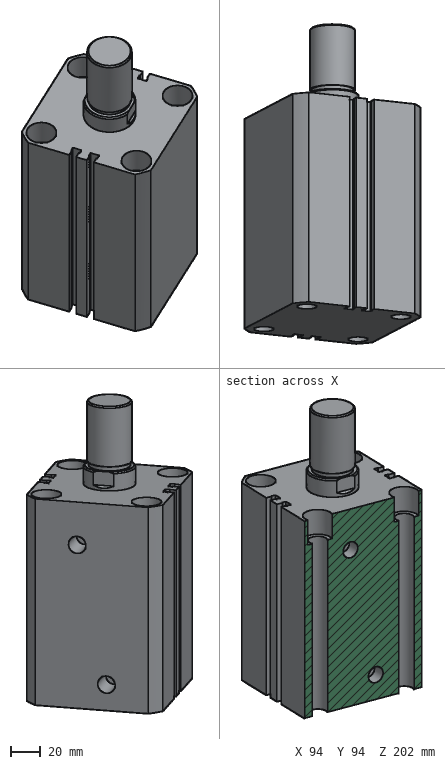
import cadquery as cq
import math

body_side = 94.0
total_height = 202.0
body_height = 144.0
corner_setback = 8.0
half_side = body_side / 2
corner_radius = math.hypot(half_side, half_side - corner_setback)

mount_offset = 34.5
mount_hole_diameter = 13.1
counterbore_diameter = 20.0
counterbore_depth = 18.0

slot_offset = 6.5
slot_mouth_width = 5.0
slot_inner_width = 6.3
slot_depth = 7.5
slot_lip = 4.5

port_mouth_diameter = 12.0
port_floor_diameter = 10.7
port_taper = 1 / 16
port_depth = (port_mouth_diameter - port_floor_diameter) / port_taper
port_offset = 10.0
upper_port_height = 114.1
lower_port_height = 18.2

collar_diameter = 35.0
collar_height = 13.0
neck_diameter = 28.0
neck_height = 3.0
tip_diameter = 30.0
rod_chamfer = 1.0
flat_width = 32.0
flat_base = 3.2


def make_block():
    """Square block whose four corners are turned to one common radius."""
    square = cq.Workplane("XY").rect(body_side, body_side).extrude(body_height)
    turned = cq.Workplane("XY").circle(corner_radius).extrude(body_height)
    return square.intersect(turned)


def cut_mounting_holes(block):
    """Counterbored through holes, entered from the top."""
    return (
        block.faces(">Z")
        .workplane(origin=(0, 0, body_height))
        .rect(2 * mount_offset, 2 * mount_offset, forConstruction=True)
        .vertices()
        .cboreHole(mount_hole_diameter, counterbore_diameter, counterbore_depth)
    )


def make_sensor_slot(x, side):
    """Cutter for one full-height T slot; side is -1 for -Y and +1 for +Y."""
    mouth = (
        cq.Workplane("XY")
        .center(x, side * (half_side - slot_depth / 2))
        .rect(slot_mouth_width, slot_depth)
        .extrude(body_height)
    )
    inner_depth = slot_depth - slot_lip
    inner = (
        cq.Workplane("XY")
        .center(x, side * (half_side - slot_lip - inner_depth / 2))
        .rect(slot_inner_width, inner_depth)
        .extrude(body_height)
    )
    return mouth.union(inner)


def make_port(y, z):
    """Cutter for a blind tapered port entered from the -X side."""
    mouth_centre = cq.Vector(-half_side, y, z)
    inward = cq.Vector(1, 0, 0)
    return cq.Solid.makeCone(
        port_mouth_diameter / 2, port_floor_diameter / 2, port_depth, mouth_centre, inward
    )


def make_body():
    body = cut_mounting_holes(make_block())
    for side in (-1, 1):
        for x in (-slot_offset, slot_offset):
            body = body.cut(make_sensor_slot(x, side))
    body = body.cut(make_port(port_offset, upper_port_height))
    return body.cut(make_port(-port_offset, lower_port_height))


def make_flat(side):
    """Cutter for one wrench flat with a 45 degree run-out; side is -1 for -X and +1 for +X."""
    flat_x = flat_width / 2
    reach = flat_base
    base_z = body_height + flat_base
    top_z = body_height + collar_height
    profile = [
        (side * flat_x, base_z),
        (side * (flat_x + reach), base_z - reach),
        (side * (flat_x + reach), top_z),
        (side * flat_x, top_z),
    ]
    return cq.Workplane("XZ").polyline(profile).close().extrude(collar_diameter / 2, both=True)


def make_rod():
    """Turned rod (collar, neck and chamfered tip) with two wrench flats on the collar."""
    collar_radius = collar_diameter / 2
    neck_radius = neck_diameter / 2
    tip_radius = tip_diameter / 2
    collar_top = body_height + collar_height
    neck_top = collar_top + neck_height
    profile = [
        (0, body_height),
        (collar_radius, body_height),
        (collar_radius, collar_top - rod_chamfer),
        (collar_radius - rod_chamfer, collar_top),
        (neck_radius, collar_top),
        (neck_radius, neck_top),
        (tip_radius, neck_top),
        (tip_radius, total_height - rod_chamfer),
        (tip_radius - rod_chamfer, total_height),
        (0, total_height),
    ]
    rod = cq.Workplane("XZ").polyline(profile).close().revolve(360, (0, 0), (0, 1))
    for side in (-1, 1):
        rod = rod.cut(make_flat(side))
    return rod


body = make_body()
rod = make_rod()

result = cq.Compound.makeCompound([body.solids().val(), rod.solids().val()])